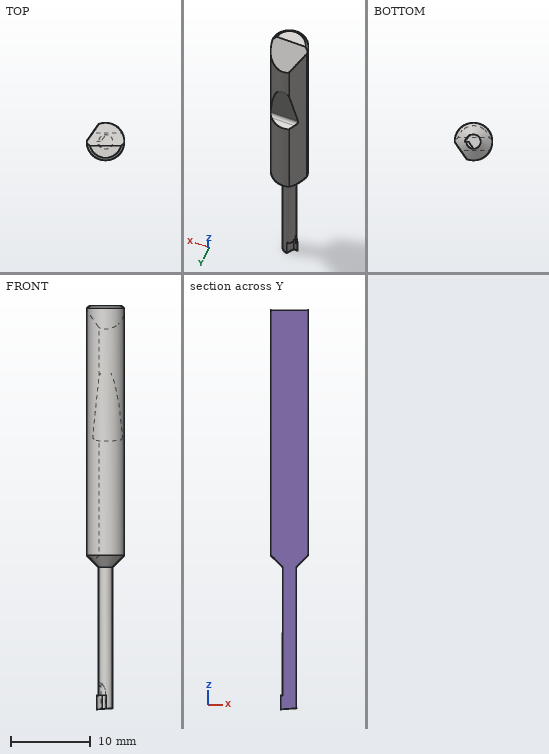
import cadquery as cq
import math


total_length = 50.8
shank_radius = 4.76 / 2
neck_radius = 0.9
neck_end_z = 17.9
end_chamfer = 0.35
reach = 10.0

flat_lower_y = 0.05
flat_upper_y = 2.22

clamp_slope = math.radians(45)
clamp_start_y = -0.52

notch_floor_z = 34.0
notch_run_out_z = 42.95
notch_slope = math.radians(8.5)
notch_corner_radius = 0.5

rake_y = 0.05
tip_reach = 1.12
tip_height = 1.77
tip_bottom_slope = math.radians(4)
heel_start = (-0.44, -0.87)
heel_end = (0.08, -0.908)
relief_mid = (-0.855, -0.455)

gullet_top_z = 3.45
gullet_wall_slope = math.radians(45)


def chord_point(y, radius):
    """Point on the -X half of a circle about the axis, at height y."""
    return (-math.sqrt(radius**2 - y**2), y)


flat_lower = chord_point(flat_lower_y, shank_radius)
flat_upper = chord_point(flat_upper_y, shank_radius)
flat_run = flat_upper[0] - flat_lower[0]
flat_rise = flat_upper[1] - flat_lower[1]


def turned_body():
    shoulder_z = neck_end_z + (shank_radius - neck_radius)
    return (
        cq.Workplane("XZ")
        .polyline([
            (0, 0),
            (neck_radius, 0),
            (neck_radius, neck_end_z),
            (shank_radius, shoulder_z),
            (shank_radius, total_length - end_chamfer),
            (shank_radius - end_chamfer, total_length),
            (0, total_length),
        ])
        .close()
        .revolve(360, (0, 0, 0), (0, 1, 0))
    )


def tip_blade():
    """Cutting tip that overhangs the neck on -X, with a curved clearance side."""
    return (
        cq.Workplane("XY")
        .moveTo(-tip_reach, rake_y)
        .threePointArc(relief_mid, heel_start)
        .lineTo(*heel_end)
        .lineTo(heel_end[0], rake_y)
        .close()
        .extrude(tip_height)
    )


def shank_flat():
    """Everything outside the shank side flat."""
    below = (flat_lower[0] - flat_run, flat_lower[1] - flat_rise)
    above = (flat_upper[0] + flat_run, flat_upper[1] + flat_rise)
    return (
        cq.Workplane("XY")
        .workplane(offset=neck_end_z)
        .polyline([below, above, (-reach, above[1]), (-reach, below[1])])
        .close()
        .extrude(total_length)
    )


def clamp_face():
    """Wedge removed from the +Y side of the shank end."""
    drop = (reach - clamp_start_y) * math.tan(clamp_slope)
    return (
        cq.Workplane("YZ")
        .polyline([
            (clamp_start_y, total_length),
            (reach, total_length - drop),
            (reach, total_length),
        ])
        .close()
        .extrude(reach, both=True)
    )


def clamp_notch():
    """Notch with a slanted floor, a step square to it and a rounded inner corner."""
    floor_length = notch_run_out_z - notch_floor_z
    corner_y = shank_radius - floor_length * math.tan(notch_slope)
    overshoot = reach - corner_y
    floor_end_z = notch_floor_z + overshoot / math.tan(notch_slope)
    step_end_z = notch_floor_z - overshoot * math.tan(notch_slope)
    return (
        cq.Workplane("YZ")
        .polyline([(corner_y, notch_floor_z), (reach, floor_end_z), (reach, step_end_z)])
        .close()
        .extrude(reach, both=True)
        .edges(cq.selectors.NearestToPointSelector((0, corner_y, notch_floor_z)))
        .fillet(notch_corner_radius)
    )


def chip_gullet():
    """Relief above the rake face: a flat parallel to the shank flat with a sloped end wall."""
    run_per_rise = flat_run / flat_rise
    inner_x = -(neck_radius - rake_y) * run_per_rise
    outer_x = (reach - neck_radius) * run_per_rise
    plan = (
        cq.Workplane("XY")
        .polyline([(inner_x, rake_y), (outer_x, reach), (-reach, reach), (-reach, rake_y)])
        .close()
        .extrude(gullet_top_z)
    )
    wall_foot_y = rake_y + gullet_top_z / math.tan(gullet_wall_slope)
    side = (
        cq.Workplane("YZ")
        .polyline([(rake_y, 0), (wall_foot_y, 0), (rake_y, gullet_top_z)])
        .close()
        .extrude(reach, both=True)
    )
    return plan.intersect(side)


def bottom_clearance():
    """Thin wedge that leaves the outer tip corner as the lowest point."""
    rise = (tip_reach + reach) * math.tan(tip_bottom_slope)
    return (
        cq.Workplane("XZ")
        .polyline([(-tip_reach, 0), (reach, 0), (reach, rise)])
        .close()
        .extrude(reach, both=True)
    )


result = (
    turned_body()
    .union(tip_blade())
    .cut(shank_flat())
    .cut(clamp_face())
    .cut(clamp_notch())
    .cut(chip_gullet())
    .cut(bottom_clearance())
)